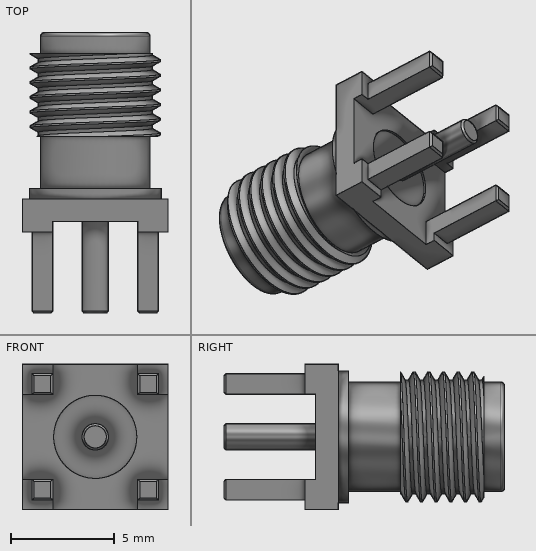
import cadquery as cq
import math


leg_length = 3.9
foot_height = 0.5
base_height = 1.6
collar_height = 0.5
neck_length = 2.5
thread_length = 4.0
nose_length = 1.0

collar_start = base_height
neck_start = collar_start + collar_height
thread_start = neck_start + neck_length
thread_end = thread_start + thread_length
barrel_end = thread_end + nose_length

base_side = 7.0
leg_side = 1.0
leg_offset = 2.54
leg_chamfer = 0.1
foot_inner_edge = leg_offset - leg_side / 2
foot_side = base_side / 2 - foot_inner_edge

pin_diameter = 1.27
pin_chamfer = 0.1
recess_diameter = 4.0
recess_depth = 0.1
collar_diameter = 6.35
barrel_diameter = 5.28
nose_fillet = 0.2

thread_pitch = 25.4 / 36
thread_root_diameter = 5.49
thread_crest_diameter = 6.26
thread_flank_angle = 30.0
thread_crest_width = thread_pitch / 8
thread_overrun_turns = 1
thread_embed = 0.05


def cylinder(diameter, start, end):
    """Cylinder on the Y axis from Y = start to Y = end."""
    return (
        cq.Workplane("XZ", origin=(0, start, 0))
        .circle(diameter / 2)
        .extrude(start - end)
    )


def box(side, x, z, start, end):
    """Square bar centred on (x, z), running from Y = start to Y = end."""
    return (
        cq.Workplane("XY")
        .box(side, end - start, side)
        .translate((x, (start + end) / 2, z))
    )


def make_base():
    """Square plate with a foot and a leg at each corner."""
    base = box(base_side, 0, 0, foot_height, base_height)
    foot_offset = foot_inner_edge + foot_side / 2
    for x_sign in (-1, 1):
        for z_sign in (-1, 1):
            foot = box(foot_side, x_sign * foot_offset, z_sign * foot_offset, 0, base_height)
            leg = box(leg_side, x_sign * leg_offset, z_sign * leg_offset, -leg_length, foot_height)
            leg = leg.faces("<Y").chamfer(leg_chamfer)
            base = base.union(foot).union(leg)
    return base.cut(cylinder(recess_diameter, foot_height, foot_height + recess_depth))


def make_pin():
    """Centre contact, from inside the plate to the level of the leg tips."""
    pin = cylinder(pin_diameter, -leg_length, base_height)
    return pin.faces("<Y").chamfer(pin_chamfer)


def make_barrel():
    """Collar and plain barrel with a rounded nose."""
    collar = cylinder(collar_diameter, collar_start, neck_start)
    barrel = cylinder(barrel_diameter, collar_start, barrel_end)
    barrel = barrel.faces(">Y").edges().fillet(nose_fillet)
    return collar.union(barrel)


def make_thread():
    """Thread core and helical ridge, cut off flat at both ends."""
    root_radius = thread_root_diameter / 2
    crest_radius = thread_crest_diameter / 2
    inner_radius = root_radius - thread_embed
    crest_half_width = thread_crest_width / 2
    flank_run = (crest_radius - inner_radius) * math.tan(math.radians(thread_flank_angle))
    inner_half_width = crest_half_width + flank_run

    covering_turns = math.ceil(thread_length / thread_pitch)
    ridge_turns = covering_turns + 2 * thread_overrun_turns
    turns_below_end = covering_turns + thread_overrun_turns - 0.5
    helix_start = thread_end - turns_below_end * thread_pitch
    helix = cq.Wire.makeHelix(thread_pitch, ridge_turns * thread_pitch, root_radius)
    ridge = (
        cq.Workplane("XZ")
        .moveTo(inner_radius, -inner_half_width)
        .lineTo(crest_radius, -crest_half_width)
        .lineTo(crest_radius, crest_half_width)
        .lineTo(inner_radius, inner_half_width)
        .close()
        .sweep(cq.Workplane(helix), isFrenet=True)
        .rotate((0, 0, 0), (1, 0, 0), -90)
        .translate((0, helix_start, 0))
    )
    ridge_end = helix_start + ridge_turns * thread_pitch
    core = cylinder(thread_root_diameter, helix_start - thread_pitch, ridge_end + thread_pitch)
    trim = cylinder(2 * thread_crest_diameter, thread_start, thread_end)
    return core.union(ridge).intersect(trim)


result = make_base().union(make_pin()).union(make_barrel()).union(make_thread())